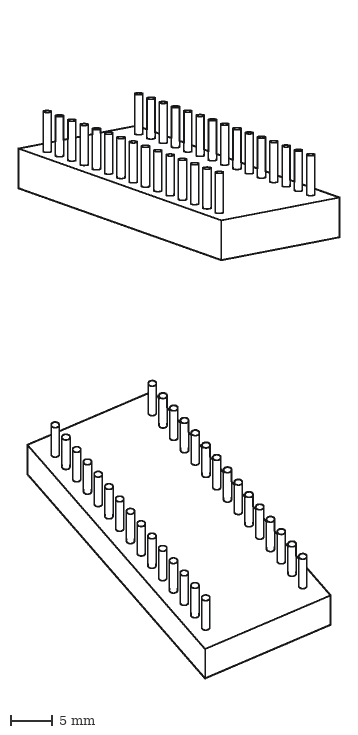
import cadquery as cq

body_length = 41.3
body_width = 17.8
overall_height = 10.0
body_height = overall_height / 2

pin_diameter = 1.0
pins_per_row = 15
row_count = 2
row_length = 35.0
row_spacing = 13.75
pin_pitch = row_length / (pins_per_row - 1)
pin_height = overall_height - body_height


def make_body():
    return cq.Workplane("XY").box(body_length, body_width, body_height, centered=(True, True, False))


def add_pins(body):
    return (
        body.faces(">Z")
        .workplane()
        .rarray(pin_pitch, row_spacing, pins_per_row, row_count)
        .circle(pin_diameter / 2)
        .extrude(pin_height)
    )


result = add_pins(make_body())